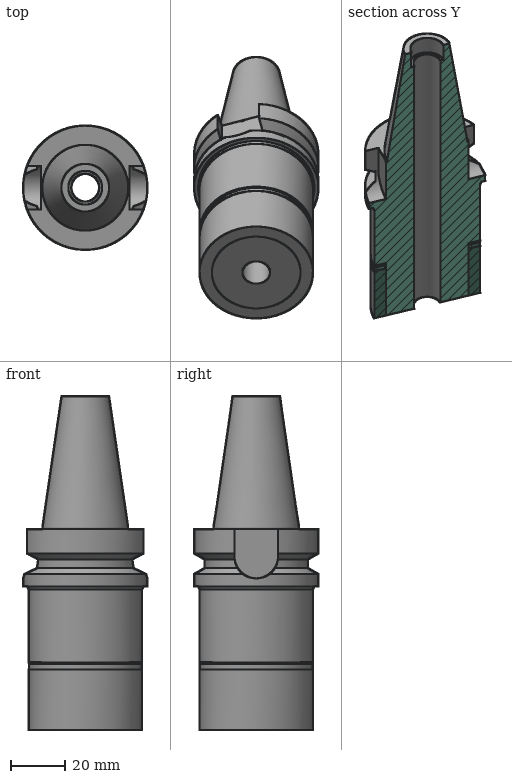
import cadquery as cq
import math

taper_length = 48.4
gauge_height = 75.0
total_height = gauge_height + taper_length

taper_ratio = 7 / 24
gauge_radius = 31.75 / 2
taper_top_radius = gauge_radius - taper_length * taper_ratio / 2

flange_radius = 23.0
flange_top = gauge_height - 0.7
flange_bottom = gauge_height - 21.9
groove_center = gauge_height - 13.5
groove_floor_width = 3.3
groove_radius = 19.2
groove_side_angle = 30.0
groove_floor_half = groove_floor_width / 2
groove_mouth_half = (groove_floor_half
                     + (flange_radius - groove_radius) * math.tan(math.radians(groove_side_angle)))

relief_radius = 21.5
relief_height = 1.1

slot_width = 16.1
slot_floor_distance = 16.3
slot_bottom = 56.1
slot_center_height = slot_bottom + slot_width / 2

body_radius = 21.0
body_bottom = 25.1
spigot_radius = 16.4
ring_radius = 20.9
ring_top = 24.5
nut_radius = 21.0
nut_top = 22.5

through_radius = 5.1
mouth_radius = 12.5 / 2
mouth_depth = 7.0


def make_holder():
    """Taper, flange, body and spigot as one turned solid, then slotted on both sides."""
    holder = (
        cq.Workplane("XZ")
        .moveTo(through_radius, 0)
        .lineTo(spigot_radius, 0)
        .lineTo(spigot_radius, body_bottom)
        .lineTo(body_radius, body_bottom)
        .lineTo(body_radius, flange_bottom - relief_height)
        .lineTo(relief_radius, flange_bottom)
        .lineTo(flange_radius, flange_bottom)
        .lineTo(flange_radius, groove_center - groove_mouth_half)
        .lineTo(groove_radius, groove_center - groove_floor_half)
        .lineTo(groove_radius, groove_center + groove_floor_half)
        .lineTo(flange_radius, groove_center + groove_mouth_half)
        .lineTo(flange_radius, flange_top)
        .lineTo(gauge_radius, flange_top)
        .lineTo(gauge_radius, gauge_height)
        .lineTo(taper_top_radius, total_height)
        .lineTo(mouth_radius, total_height)
        .lineTo(mouth_radius, total_height - mouth_depth)
        .lineTo(through_radius, total_height - mouth_depth)
        .close()
        .revolve(360, (0, 0, 0), (0, 1, 0))
    )
    for side in (1, -1):
        holder = holder.cut(make_slot_cutter(side))
    return holder


def make_slot_cutter(side):
    """Round-bottomed slot, open upward and outward, on the +X or -X side."""
    half_width = slot_width / 2
    return (
        cq.Workplane("YZ", origin=(side * slot_floor_distance, 0, 0))
        .moveTo(-half_width, flange_top)
        .lineTo(-half_width, slot_center_height)
        .threePointArc((0, slot_bottom), (half_width, slot_center_height))
        .lineTo(half_width, flange_top)
        .close()
        .extrude(side * (flange_radius - slot_floor_distance))
    )


def make_sleeve(outer_radius, bottom, top):
    """Plain sleeve that fits around the spigot."""
    return (
        cq.Workplane("XY", origin=(0, 0, bottom))
        .circle(outer_radius)
        .circle(spigot_radius)
        .extrude(top - bottom)
    )


holder = make_holder()
ring = make_sleeve(ring_radius, nut_top, ring_top)
nut = make_sleeve(nut_radius, 0, nut_top)

result = cq.Compound.makeCompound([holder.val(), ring.val(), nut.val()])